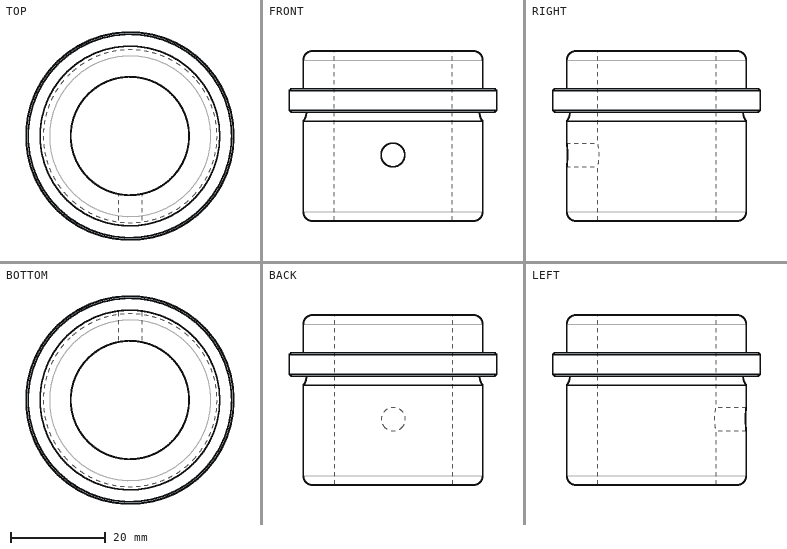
import cadquery as cq
import math

flange_diameter = 44.0
body_diameter = 38.0
bore_diameter = 25.0
total_height = 36.0
flange_bottom = 23.0
flange_thickness = 5.0
flange_chamfer = 0.5
end_fillet = 2.0
neck_height = 1.9
neck_depth = 0.65
neck_arc_radius = 3.0
hole_diameter = 5.0
hole_height = 14.0

body_radius = body_diameter / 2


def disc(diameter, bottom, height):
    """Solid cylinder on the Z axis, starting at the given height."""
    return cq.Workplane("XY").workplane(offset=bottom).circle(diameter / 2).extrude(height)


def neck_relief():
    """Ring of round section that hollows the body just below the flange."""
    center_radius = body_radius - neck_depth + neck_arc_radius
    half_width = math.sqrt(neck_arc_radius**2 - (neck_arc_radius - neck_depth) ** 2)
    center_height = flange_bottom - neck_height + half_width
    return (
        cq.Workplane("XZ")
        .center(center_radius, center_height)
        .circle(neck_arc_radius)
        .revolve(360, (-center_radius, 0, 0), (-center_radius, 1, 0))
    )


def side_hole():
    """Radial hole through the wall on the -Y side, ending inside the bore."""
    return (
        cq.Workplane("XZ")
        .center(0, hole_height)
        .circle(hole_diameter / 2)
        .extrude(body_diameter)
    )


sleeve = disc(body_diameter, 0, total_height).edges().fillet(end_fillet)
sleeve = sleeve.cut(neck_relief())
flange = disc(flange_diameter, flange_bottom, flange_thickness).edges().chamfer(flange_chamfer)

result = sleeve.union(flange).cut(disc(bore_diameter, 0, total_height)).cut(side_hole())